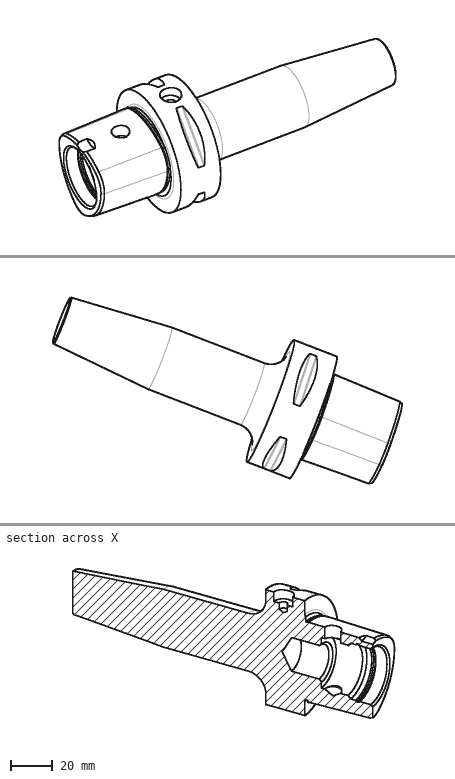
import cadquery as cq
import math


total_length = 168.0
shank_length = 38.0
flange_diameter = 63.0
flange_radius = flange_diameter / 2
flange_length = 22.0
neck_radius = 16.0
neck_fillet = 9.5
tip_radius = 12.0
tip_taper_length = 50.7
tip_chamfer = 0.5

collar_radius = 24.2
collar_height = 0.5
collar_flank_radius = 2.5

flat_distance = 20.3
lobe_count = 3
lobe_eccentricity = 1.7
flank_center_offset = 13.1
shank_side_slope = 1 / 40
relief_length = 1.7
relief_inset = 0.2
relief_bevel_length = 0.5
relief_radius = 22.8
lead_in_length = 1.5
lead_in_depth = 0.7

mouth_radius = 16.1
mouth_chamfer = 1.0
mouth_depth = 7.2
groove_depth = 0.7
groove_floor_length = 1.0
land_length = 2.7
inner_bore_radius = 13.6
bore_depth = 28.5
screw_hole_radius = 9.0
screw_hole_chamfer = 1.3
screw_hole_depth = 16.8
drill_half_angle = math.radians(60)

cross_hole_radius = 4.4
cross_hole_y = -15.6

notch_radius = 7.0
notch_floor_z = 18.1
notch_length = 6.0

pocket_y = 12.1
pocket_radius = 5.2
pocket_depth = 5.2
pocket_drill_radius = 2.2
pocket_drill_depth = 3.4

slot_count = 4
slot_y = 12.0
slot_floor_distance = 27.5
slot_floor_width = 3.4
slot_corner_fillet = 0.59
slot_half_angle = math.radians(30)

tip_y = total_length - shank_length
shank_end_y = -shank_length


def revolve_profile(profile):
    """Turn a closed radius-Y profile about the Y axis."""
    return profile.close().revolve(360, (0, 0, 0), (0, 1, 0))


def cone_length(radius):
    return radius / math.tan(drill_half_angle)


def drill(radius, depth):
    """Drill with a conical tip; starts at Z = 0 and points to -Z, cylinder of the given depth."""
    outline = (
        cq.Workplane("XZ")
        .lineTo(radius, 0)
        .lineTo(radius, -depth)
        .lineTo(0, -depth - cone_length(radius))
        .close()
    )
    return outline.revolve(360, (0, 0, 0), (0, 1, 0))


def turned_body():
    fillet_mid = neck_fillet * (1 - math.sqrt(0.5))
    taper_slope = (neck_radius - tip_radius) / tip_taper_length
    profile = (
        cq.Workplane("XY")
        .lineTo(flange_radius, 0)
        .lineTo(flange_radius, flange_length)
        .lineTo(neck_radius + neck_fillet, flange_length)
        .threePointArc(
            (neck_radius + fillet_mid, flange_length + fillet_mid),
            (neck_radius, flange_length + neck_fillet),
        )
        .lineTo(neck_radius, tip_y - tip_taper_length)
        .lineTo(tip_radius + taper_slope * tip_chamfer, tip_y - tip_chamfer)
        .lineTo(tip_radius - tip_chamfer, tip_y)
        .lineTo(0, tip_y)
    )
    return revolve_profile(profile)


def collar():
    def flank_point(height):
        rise = collar_flank_radius - height
        return collar_radius - math.sqrt(collar_flank_radius**2 - rise**2), -height

    top_radius, top_y = flank_point(collar_height)
    profile = (
        cq.Workplane("XY")
        .lineTo(collar_radius, 0)
        .threePointArc(flank_point(collar_height / 4), (top_radius, top_y))
        .lineTo(0, top_y)
    )
    return revolve_profile(profile)


def polygon_outline(start_y, inset):
    """Three wide flank arcs joined tangentially by three lobe arcs, one lobe pointing to -Z."""
    lobe_center_offset = (
        4 * lobe_eccentricity * (flank_center_offset - lobe_eccentricity)
        / (flank_center_offset - 4 * lobe_eccentricity)
    )
    flank_radius = flat_distance - inset + flank_center_offset
    lobe_reach = flat_distance - inset + 2 * lobe_eccentricity

    def polar(radius, degrees):
        angle = math.radians(degrees)
        return radius * math.cos(angle), radius * math.sin(angle)

    top_angle = 90
    lobe_pitch = 360 / lobe_count
    lobe_x, lobe_z = polar(lobe_center_offset, top_angle - lobe_pitch / 2)
    center_direction = math.atan2(lobe_z + flank_center_offset, lobe_x)
    joint_x = flank_radius * math.cos(center_direction)
    joint_z = flank_radius * math.sin(center_direction) - flank_center_offset
    joint_radius = math.hypot(joint_x, joint_z)
    joint_angle = math.degrees(math.atan2(joint_z, joint_x))
    half_flank = top_angle - joint_angle

    outline = cq.Workplane("XZ", origin=(0, start_y, 0)).moveTo(joint_x, joint_z)
    for index in range(lobe_count):
        flank_angle = top_angle + index * lobe_pitch
        outline = outline.threePointArc(
            polar(flat_distance - inset, flank_angle),
            polar(joint_radius, flank_angle + half_flank),
        ).threePointArc(
            polar(lobe_reach, flank_angle + lobe_pitch / 2),
            polar(joint_radius, flank_angle + lobe_pitch - half_flank),
        )
    return outline.close()


def polygon_shank():
    taper_start = relief_length + relief_bevel_length
    taper_length = shank_length - taper_start - lead_in_length
    main_taper = math.degrees(math.atan(shank_side_slope))
    lead_in_taper = math.degrees(math.atan(lead_in_depth / lead_in_length))
    relief = (
        polygon_outline(0, relief_inset)
        .extrude(relief_length)
        .intersect(cq.Workplane("XZ").circle(relief_radius).extrude(relief_length))
    )
    bevel_taper = math.degrees(math.atan(relief_inset / relief_bevel_length))
    bevel = polygon_outline(-relief_length, relief_inset).extrude(
        relief_bevel_length, taper=-bevel_taper
    )
    main = polygon_outline(-taper_start, 0).extrude(taper_length, taper=main_taper)
    lead_in = polygon_outline(
        shank_end_y + lead_in_length, shank_side_slope * taper_length
    ).extrude(lead_in_length, taper=lead_in_taper)
    return relief.union(bevel).union(main).union(lead_in)


def shank_bore():
    bore_radius = mouth_radius - mouth_chamfer
    groove_start = shank_end_y + mouth_depth
    groove_radius = bore_radius + groove_depth
    groove_floor_start = groove_start + groove_depth
    groove_floor_end = groove_floor_start + groove_floor_length
    groove_end = groove_floor_end + groove_depth
    land_end = groove_end + land_length
    floor_y = shank_end_y + bore_depth
    screw_hole_end = floor_y + screw_hole_depth
    profile = (
        cq.Workplane("XY")
        .moveTo(0, shank_end_y)
        .lineTo(mouth_radius, shank_end_y)
        .lineTo(bore_radius, shank_end_y + mouth_chamfer)
        .lineTo(bore_radius, groove_start)
        .lineTo(groove_radius, groove_floor_start)
        .lineTo(groove_radius, groove_floor_end)
        .lineTo(bore_radius, groove_end)
        .lineTo(bore_radius, land_end)
        .lineTo(inner_bore_radius, land_end + bore_radius - inner_bore_radius)
        .lineTo(inner_bore_radius, floor_y)
        .lineTo(screw_hole_radius + screw_hole_chamfer, floor_y)
        .lineTo(screw_hole_radius, floor_y + screw_hole_chamfer)
        .lineTo(screw_hole_radius, screw_hole_end)
        .lineTo(0, screw_hole_end + cone_length(screw_hole_radius))
    )
    return revolve_profile(profile)


def cross_hole():
    depth = flat_distance + inner_bore_radius
    return drill(cross_hole_radius, depth).translate((0, cross_hole_y, flat_distance))


def key_notch():
    """Round-bottomed notch whose inner end closes with a 45 degree cone."""
    profile = (
        cq.Workplane("XY")
        .moveTo(0, shank_end_y)
        .lineTo(notch_radius, shank_end_y)
        .lineTo(notch_radius, shank_end_y + notch_length)
        .lineTo(0, shank_end_y + notch_length + notch_radius)
    )
    return revolve_profile(profile).translate((0, 0, notch_floor_z + notch_radius))


def flange_pocket():
    floor_z = flange_radius - pocket_depth
    pocket = cq.Workplane("XY").workplane(offset=floor_z).circle(pocket_radius).extrude(flange_radius)
    pilot = drill(pocket_drill_radius, pocket_drill_depth).translate((0, 0, floor_z))
    return pocket.union(pilot).translate((0, pocket_y, 0))


def gripper_slot():
    """Straight trapezoidal groove along X across the +Z side of the flange."""
    half_floor = slot_floor_width / 2
    slot_height = flange_radius - slot_floor_distance
    half_top = half_floor + slot_height * math.tan(slot_half_angle)
    return (
        cq.Workplane("YZ")
        .polyline([
            (slot_y - half_floor, slot_floor_distance),
            (slot_y + half_floor, slot_floor_distance),
            (slot_y + half_top, flange_radius),
            (slot_y - half_top, flange_radius),
        ])
        .close()
        .extrude(flange_radius, both=True)
        .faces("<Z")
        .edges("|X")
        .fillet(slot_corner_fillet)
    )


result = turned_body().union(collar()).union(polygon_shank())
result = result.cut(shank_bore()).cut(cross_hole()).cut(key_notch()).cut(flange_pocket())
slot_pitch = 360 / slot_count
for index in range(slot_count):
    slot_angle = slot_pitch / 2 + index * slot_pitch
    result = result.cut(gripper_slot().rotate((0, 0, 0), (0, 1, 0), slot_angle))